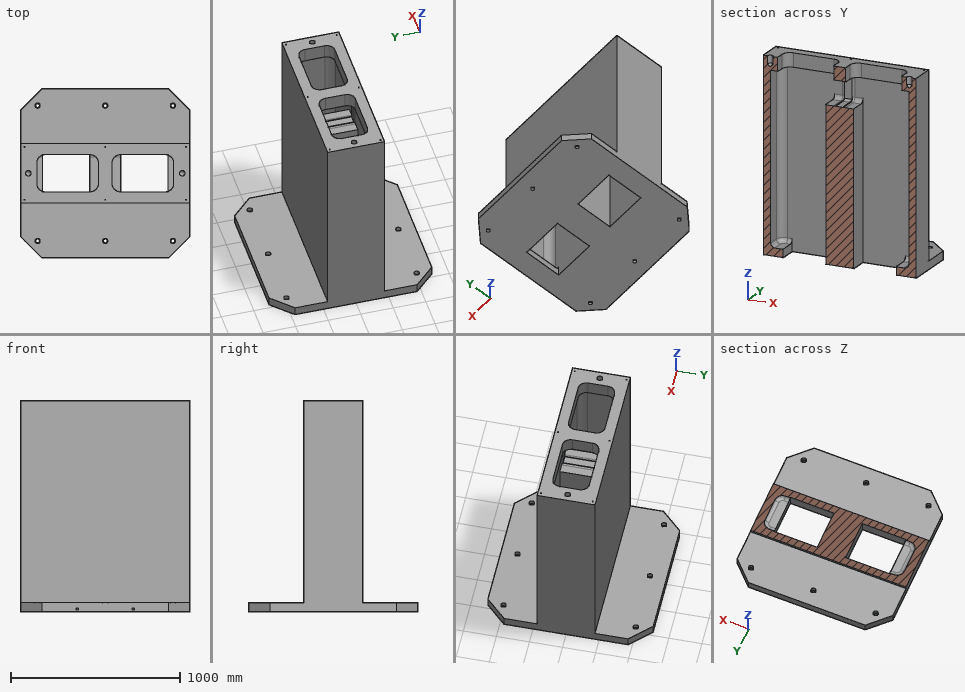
import cadquery as cq

SIDE = 1000.0
HEIGHT = 1250.0
BASE_THICKNESS = 55.0
CORNER_CUT = 125.0

COLUMN_DEPTH = 350.0
OUTER_WALL = 50.0
TOP_THICKNESS = 90.0
WEB_THICKNESS = 25.0
CHAMBER_CORNER_RADIUS = 50.0
WEB_CORNER_RADIUS = 28.0
FLOOR_FILLET = 28.0

BLOCK_HALF_WIDTH = 92.0
BLOCK_TOP = 1000.0
WEB_WINDOW_HALF_DEPTH = 120.0

OPENING_INNER_X = 40.0
OPENING_OUTER_X = 405.0
OPENING_DEPTH = 220.0
OPENING_CORNER_RADIUS = 50.0
FLOOR_OPENING_OUTER_X = 370.0

ANCHOR_OFFSET = 400.0
ANCHOR_DIAMETER = 22.0
ANCHOR_COUNTERBORE = 31.0
ANCHOR_COUNTERBORE_DEPTH = 25.0

LIFTING_X = 455.0
LIFTING_DIAMETER = 32.0
LIFTING_DEPTH = 50.0
SCREW_X = 478.0
SCREW_Y = 156.0
SCREW_DIAMETER = 5.0
SCREW_DEPTH = 20.0
EDGE_HOLE_X = 165.0
EDGE_HOLE_Z = 18.0
EDGE_HOLE_DIAMETER = 14.0
EDGE_HOLE_DEPTH = 30.0

CHAMBER_OUTER_X = SIDE / 2 - OUTER_WALL
CHAMBER_DEPTH = COLUMN_DEPTH - 2 * OUTER_WALL
CHAMBER_TOP = HEIGHT - TOP_THICKNESS


def box_between(x_min, x_max, depth, z_min, z_max):
    """Box centred on Y = 0."""
    plan = cq.Workplane("XY", origin=((x_min + x_max) / 2, 0, z_min))
    return plan.rect(x_max - x_min, depth).extrude(z_max - z_min)


def drilled_hole(position, direction, diameter, depth):
    """Blind hole cutter with a 90 degree drill point."""
    radius = diameter / 2
    start = cq.Vector(*position)
    axis = cq.Vector(*direction)
    bore = cq.Solid.makeCylinder(radius, depth, start, axis)
    point = cq.Solid.makeCone(radius, 0, radius, start + axis * depth, axis)
    return cq.Workplane(obj=bore.fuse(point))


def pedestal():
    """Chamfered square base with a full-width column on it."""
    base = cq.Workplane("XY").rect(SIDE, SIDE).extrude(BASE_THICKNESS)
    base = base.edges("|Z").chamfer(CORNER_CUT)
    column = box_between(-SIDE / 2, SIDE / 2, COLUMN_DEPTH, BASE_THICKNESS, HEIGHT)
    return base.union(column).clean()


def space_above_block(x_min, x_max):
    """Space from the block to the underside of the top, with a floor fillet along its +Y side."""
    space = box_between(x_min, x_max, CHAMBER_DEPTH, BLOCK_TOP, CHAMBER_TOP)
    return space.faces("<Z").edges(">Y").fillet(FLOOR_FILLET)


def chamber():
    """Void on the +X side: tall shaft, space above the block, top and floor openings."""
    shaft = box_between(BLOCK_HALF_WIDTH, CHAMBER_OUTER_X, CHAMBER_DEPTH, BASE_THICKNESS, CHAMBER_TOP)
    shaft = shaft.edges("|Z and >X").fillet(CHAMBER_CORNER_RADIUS)
    shaft = shaft.faces("<Z").edges("|X").fillet(FLOOR_FILLET)

    above_block = space_above_block(WEB_THICKNESS / 2, CHAMBER_OUTER_X - CHAMBER_CORNER_RADIUS)
    above_block = above_block.edges("|Z and <X").fillet(WEB_CORNER_RADIUS)

    top_opening = box_between(OPENING_INNER_X, OPENING_OUTER_X, OPENING_DEPTH, CHAMBER_TOP, HEIGHT)
    top_opening = top_opening.edges("|Z").fillet(OPENING_CORNER_RADIUS)

    floor_opening = box_between(
        BLOCK_HALF_WIDTH, FLOOR_OPENING_OUTER_X, CHAMBER_DEPTH, 0, BASE_THICKNESS + FLOOR_FILLET
    )
    return shaft.union(above_block).union(top_opening).union(floor_opening)


def web_window():
    """Passage through the web, from the block up to the underside of the top."""
    space = space_above_block(-BLOCK_HALF_WIDTH, BLOCK_HALF_WIDTH)
    return space.intersect(
        box_between(-WEB_THICKNESS, WEB_THICKNESS, 2 * WEB_WINDOW_HALF_DEPTH, BLOCK_TOP, CHAMBER_TOP)
    )


def drill_anchor_holes(body):
    points = [(x, y) for x in (-ANCHOR_OFFSET, 0, ANCHOR_OFFSET) for y in (-ANCHOR_OFFSET, ANCHOR_OFFSET)]
    plane = cq.Workplane("XY", origin=(0, 0, BASE_THICKNESS)).pushPoints(points)
    body = body.cut(plane.circle(ANCHOR_DIAMETER / 2).extrude(-BASE_THICKNESS))
    return body.cut(plane.circle(ANCHOR_COUNTERBORE / 2).extrude(-ANCHOR_COUNTERBORE_DEPTH))


def drill_blind_holes(body):
    down = (0, 0, -1)
    for x in (-LIFTING_X, LIFTING_X):
        body = body.cut(drilled_hole((x, 0, HEIGHT), down, LIFTING_DIAMETER, LIFTING_DEPTH))
    for x in (-SCREW_X, 0, SCREW_X):
        for y in (-SCREW_Y, SCREW_Y):
            body = body.cut(drilled_hole((x, y, HEIGHT), down, SCREW_DIAMETER, SCREW_DEPTH))
    for x in (-EDGE_HOLE_X, EDGE_HOLE_X):
        position = (x, -SIDE / 2, EDGE_HOLE_Z)
        body = body.cut(drilled_hole(position, (0, 1, 0), EDGE_HOLE_DIAMETER, EDGE_HOLE_DEPTH))
    return body


right_chamber = chamber()
result = pedestal().cut(right_chamber).cut(right_chamber.mirror("YZ")).cut(web_window())
result = drill_anchor_holes(result)
result = drill_blind_holes(result)